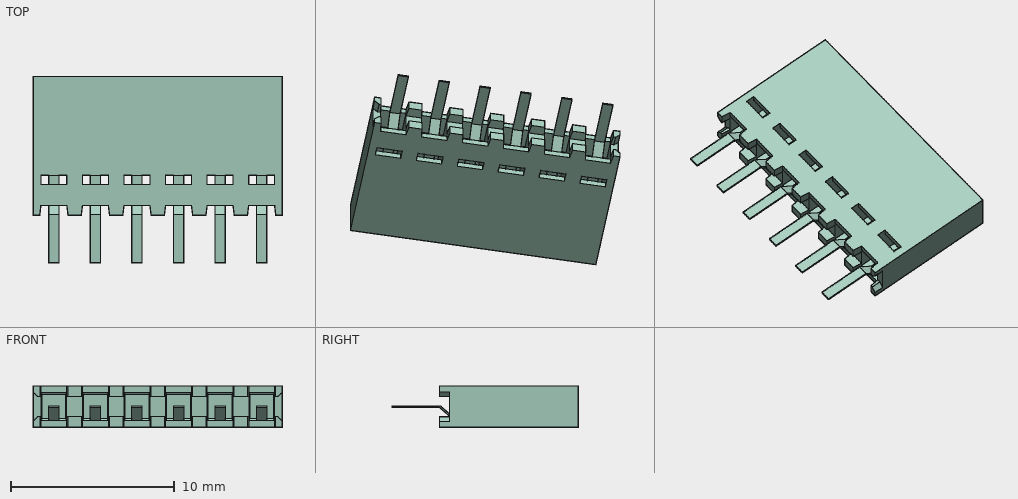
import cadquery as cq

contact_count = 6
pitch = 2.54
housing_length = contact_count * pitch
housing_depth = 8.5
housing_height = 2.54

recess_depth = 0.6
recess_height = 1.23
recess_flare = 0.28

notch_floor_width = 1.57
notch_front_width = 1.72

pocket_mouth_width = 1.57
pocket_mouth_height = 1.72
pocket_end_width = 1.45
pocket_end_height = 1.46
pocket_straight_depth = 4.0
pocket_taper_depth = 0.1
pocket_depth = pocket_straight_depth + pocket_taper_depth

window_width = 1.57
window_length = 0.55
window_start = 1.9

pin_width = 0.64
pin_thickness = 0.1
pin_reach = 2.9
pin_bend_start = 0.06
pin_step_run = 0.93
pin_step_drop = (pocket_mouth_height - pin_thickness) / 2
pin_bend_shift = 0.06

pin_positions = [(i - (contact_count - 1) / 2) * pitch for i in range(contact_count)]


def make_front_recess():
    """Channel open at the front, flared at 45 degrees where it leaves both ends."""
    half_length = housing_length / 2
    half_height = recess_height / 2
    flare_start = half_length - recess_flare
    flared_half_height = half_height + recess_flare
    outline = [
        (-half_length, -flared_half_height),
        (-flare_start, -half_height),
        (flare_start, -half_height),
        (half_length, -flared_half_height),
        (half_length, flared_half_height),
        (flare_start, half_height),
        (-flare_start, half_height),
        (-half_length, flared_half_height),
    ]
    return cq.Workplane("XZ").polyline(outline).close().extrude(-recess_depth)


def make_notch(x):
    """Trapezoidal gap between teeth, cut through the full height."""
    outline = [
        (x - notch_front_width / 2, 0),
        (x + notch_front_width / 2, 0),
        (x + notch_floor_width / 2, recess_depth),
        (x - notch_floor_width / 2, recess_depth),
    ]
    return (
        cq.Workplane("XY")
        .workplane(offset=-housing_height / 2)
        .polyline(outline)
        .close()
        .extrude(housing_height)
    )


def make_pocket(x):
    """Blind pocket: a straight bore from the recess floor that tapers to a smaller flat end."""
    return (
        cq.Workplane("XZ", origin=(x, recess_depth, 0))
        .rect(pocket_mouth_width, pocket_mouth_height)
        .extrude(-pocket_straight_depth)
        .faces(">Y")
        .wires()
        .toPending()
        .workplane(offset=pocket_taper_depth)
        .rect(pocket_end_width, pocket_end_height)
        .loft(ruled=True)
    )


def make_window(x):
    """Rectangular window through the full height of the housing."""
    return cq.Workplane("XY").box(window_width, window_length, housing_height).translate(
        (x, window_start + window_length / 2, 0)
    )


def make_pin(x):
    """Bent strip: straight tail, sloped step, then a flat run along the pocket floor to its end."""
    top = pin_thickness / 2
    bottom = -pin_thickness / 2
    step_end = pin_bend_start + pin_step_run
    pin_end = recess_depth + pocket_depth
    outline = [
        (-pin_reach, bottom),
        (pin_bend_start - pin_bend_shift, bottom),
        (step_end - pin_bend_shift, bottom - pin_step_drop),
        (pin_end, bottom - pin_step_drop),
        (pin_end, top - pin_step_drop),
        (step_end, top - pin_step_drop),
        (pin_bend_start, top),
        (-pin_reach, top),
    ]
    return (
        cq.Workplane("YZ", origin=(x, 0, 0))
        .polyline(outline)
        .close()
        .extrude(pin_width / 2, both=True)
    )


housing = cq.Workplane("XY").box(housing_length, housing_depth, housing_height).translate(
    (0, housing_depth / 2, 0)
)
housing = housing.cut(make_front_recess())
for position in pin_positions:
    housing = housing.cut(make_notch(position))
    housing = housing.cut(make_pocket(position))
    housing = housing.cut(make_window(position))

result = housing
for position in pin_positions:
    result = result.union(make_pin(position))